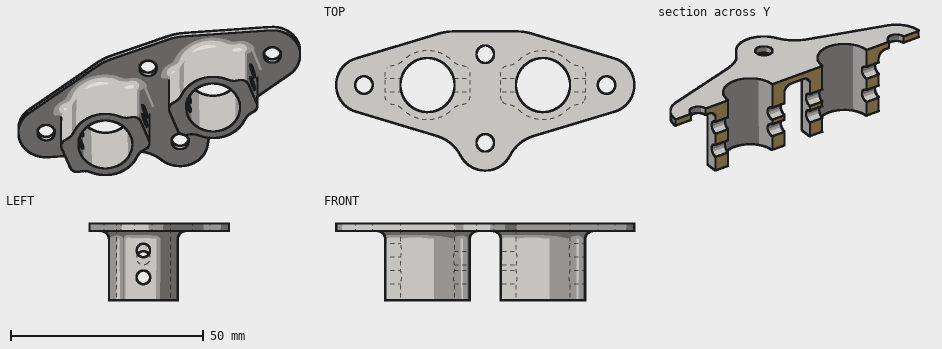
import cadquery as cq
import math

total_height = 20.0
plate_thickness = 2.0
lug_radius = 7.25
side_lug_x = 31.5
front_lug_y = -15.0
shoulder_radius = 14.0
shoulder_x = 8.0
neck_radius = 10.0

screw_hole_diameter = 4.5
rear_screw_y = 8.0

socket_x = 15.0
bore_diameter = 14.0
socket_radius = 9.0
ear_reach = 11.0
ear_half_width = 5.0
ear_corner_radius = 2.0
ear_blend_radius = 4.5
root_fillet_radius = 2.0

cross_hole_diameter = 3.5
lower_cross_hole_z = -14.0
outer_upper_cross_hole_z = -7.0
inner_upper_cross_hole_z = -9.0


def polar(center, radius, angle):
    """Point on a circle at an angle in radians."""
    return (center[0] + radius * math.cos(angle), center[1] + radius * math.sin(angle))


def mirror_x(point):
    return (-point[0], point[1])


def mirror_y(point):
    return (point[0], -point[1])


def midpoint_on_arc(center, radius, start, end):
    """Middle of the shorter arc between two points of a circle."""
    chord_x = (start[0] + end[0]) / 2 - center[0]
    chord_y = (start[1] + end[1]) / 2 - center[1]
    return polar(center, radius, math.atan2(chord_y, chord_x))


def point_towards(start, target, distance):
    angle = math.atan2(target[1] - start[1], target[0] - start[0])
    return polar(start, distance, angle)


def make_plate():
    side_lug = (side_lug_x, 0)
    shoulder = (shoulder_x, 0)
    front_lug = (0, front_lug_y)

    slope = math.asin((shoulder_radius - lug_radius) / (side_lug_x - shoulder_x))
    normal_angle = math.pi / 2 - slope
    shoulder_start = (shoulder_x, shoulder_radius)
    shoulder_end = polar(shoulder, shoulder_radius, normal_angle)
    lug_upper = polar(side_lug, lug_radius, normal_angle)
    lug_lower = mirror_y(lug_upper)
    lug_tip = (side_lug_x + lug_radius, 0)

    side_offset = shoulder_radius + shoulder_x * math.sin(slope)
    across = side_offset + neck_radius + front_lug_y * math.cos(slope)
    along = math.sqrt((lug_radius + neck_radius) ** 2 - across**2)
    neck_center = polar(polar(front_lug, across, -normal_angle), along, slope)
    neck_start = polar(neck_center, neck_radius, math.pi - normal_angle)
    neck_end = point_towards(front_lug, neck_center, lug_radius)
    neck_middle = midpoint_on_arc(neck_center, neck_radius, neck_start, neck_end)
    front_tip = (0, front_lug_y - lug_radius)

    shoulder_middle = midpoint_on_arc(shoulder, shoulder_radius, shoulder_start, shoulder_end)
    outline = (
        cq.Workplane("XY")
        .moveTo(*mirror_x(shoulder_start))
        .lineTo(*shoulder_start)
        .threePointArc(shoulder_middle, shoulder_end)
        .lineTo(*lug_upper)
        .threePointArc(lug_tip, lug_lower)
        .lineTo(*neck_start)
        .threePointArc(neck_middle, neck_end)
        .threePointArc(front_tip, mirror_x(neck_end))
        .threePointArc(mirror_x(neck_middle), mirror_x(neck_start))
        .lineTo(*mirror_x(lug_lower))
        .threePointArc(mirror_x(lug_tip), mirror_x(lug_upper))
        .lineTo(*mirror_x(shoulder_end))
        .threePointArc(mirror_x(shoulder_middle), mirror_x(shoulder_start))
        .close()
    )
    return outline.extrude(-plate_thickness)


def make_socket():
    """Round socket with two opposite ears, centred on the Z axis."""
    origin = (0, 0)

    blend_y = ear_half_width + ear_blend_radius
    blend_center = (math.sqrt((socket_radius + ear_blend_radius) ** 2 - blend_y**2), blend_y)
    wall_end = point_towards(origin, blend_center, socket_radius)

    corner_x = ear_reach - ear_corner_radius
    centers_apart = ear_corner_radius + ear_blend_radius
    corner_y = blend_y - math.sqrt(centers_apart**2 - (blend_center[0] - corner_x) ** 2)
    corner = (corner_x, corner_y)
    blend_end = point_towards(corner, blend_center, ear_corner_radius)
    flat_end = (ear_reach, corner_y)

    blend_middle = midpoint_on_arc(blend_center, ear_blend_radius, wall_end, blend_end)
    corner_middle = midpoint_on_arc(corner, ear_corner_radius, blend_end, flat_end)
    outline = (
        cq.Workplane("XY")
        .workplane(offset=-plate_thickness)
        .moveTo(*mirror_x(wall_end))
        .threePointArc((0, socket_radius), wall_end)
        .threePointArc(blend_middle, blend_end)
        .threePointArc(corner_middle, flat_end)
        .lineTo(*mirror_y(flat_end))
        .threePointArc(mirror_y(corner_middle), mirror_y(blend_end))
        .threePointArc(mirror_y(blend_middle), mirror_y(wall_end))
        .threePointArc((0, -socket_radius), mirror_x(mirror_y(wall_end)))
        .threePointArc(mirror_x(mirror_y(blend_middle)), mirror_x(mirror_y(blend_end)))
        .threePointArc(mirror_x(mirror_y(corner_middle)), mirror_x(mirror_y(flat_end)))
        .lineTo(*mirror_x(flat_end))
        .threePointArc(mirror_x(corner_middle), mirror_x(blend_end))
        .threePointArc(mirror_x(blend_middle), mirror_x(wall_end))
        .close()
    )
    return outline.extrude(plate_thickness - total_height)


def fillet_socket_roots(body):
    """Round the inside corner where each socket meets the underside of the plate."""
    root_reach = ear_reach + root_fillet_radius / 2
    root_edges = []
    for center_x in (-socket_x, socket_x):
        root_zone = cq.selectors.BoxSelector(
            (center_x - root_reach, -root_reach, -plate_thickness - root_fillet_radius / 2),
            (center_x + root_reach, root_reach, -plate_thickness + root_fillet_radius / 2),
            boundingbox=True,
        )
        root_edges += body.edges(root_zone).vals()
    return body.newObject(root_edges).fillet(root_fillet_radius)


def vertical_holes(points, diameter):
    return cq.Workplane("XY").pushPoints(points).circle(diameter / 2).extrude(-total_height)


def cross_hole(start_x, end_x, z):
    """Cutter along X between two positions at a given height."""
    return (
        cq.Workplane("YZ", origin=(start_x, 0, z))
        .circle(cross_hole_diameter / 2)
        .extrude(end_x - start_x)
    )


socket = make_socket()
body = make_plate()
for center_x in (-socket_x, socket_x):
    body = body.union(socket.translate((center_x, 0, 0)))
body = fillet_socket_roots(body)

body = body.cut(vertical_holes([(-socket_x, 0), (socket_x, 0)], bore_diameter))
screw_points = [(-side_lug_x, 0), (side_lug_x, 0), (0, rear_screw_y), (0, front_lug_y)]
body = body.cut(vertical_holes(screw_points, screw_hole_diameter))

outer_x = socket_x + ear_reach
body = body.cut(cross_hole(-outer_x, outer_x, lower_cross_hole_z))
body = body.cut(cross_hole(-socket_x, socket_x, inner_upper_cross_hole_z))
for side in (-1, 1):
    body = body.cut(cross_hole(side * socket_x, side * outer_x, outer_upper_cross_hole_z))

result = body